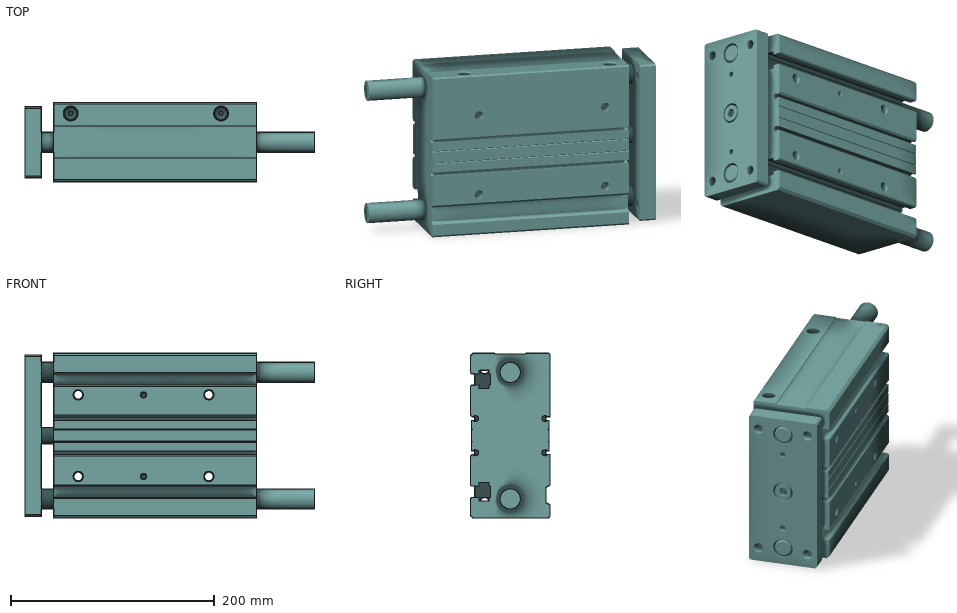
import cadquery as cq
import math


total_length = 284.0
housing_start = 28.0
housing_length = 199.0
housing_width = 78.0
housing_height = 162.0

plate_thickness = 16.2
plate_width = 70.0
plate_height = 158.2
plate_chamfer = 1.7

guide_diameter = 20.0
guide_pitch = 124.0
guide_tip_diameter = 16.8
guide_tip_chamfer = 1.0

piston_diameter = 16.2
piston_insertion = 56.8
hex_across_flats = 8.0
hex_depth = 4.0

tip_recess_diameter = 20.0
tip_recess_depth = 8.0

front_corner_chamfer = 2.5
rear_top_chamfer = 1.5
rear_bottom_chamfer = 2.0
top_relief_width = 31.2
top_relief_depth = 0.9

t_slot_offset = 55.0
t_mouth_width = 11.0
t_inner_width = 18.0
t_lip_depth = 8.2
t_slot_depth = 18.2
t_channel_depth = 20.0
t_mouth_chamfer = 1.0

strip_height = 30.0
strip_relief = 0.9
strip_groove_offset = 6.0
strip_groove_width = 1.0
strip_groove_depth = 0.9

sensor_mouth_width = 3.5
sensor_round_diameter = 5.7
sensor_round_depth = 5.0
sensor_lead_in = 1.7

flared_slot_offset = 58.2
flared_outer_width = 19.3
flared_floor_width = 14.2
flared_slot_depth = 4.0

screw_hole_diameter = 8.5
screw_countersink_diameter = 10.0
location_hole_diameter = 5.0
location_countersink_diameter = 6.0
location_hole_depth = 10.0
hole_row_pitch = 80.0
side_screw_start = 24.0
side_screw_pitch = 128.0
plate_screw_pitch_y = 50.3
plate_screw_pitch_z = 130.0

port_positions = (16.8, 164.2)
port_y = 28.0
port_mouth_diameter = 14.5
port_diameter = 12.5
port_depth = 10.0
port_pilot_diameter = 4.3
port_pilot_depth = 17.0
drill_point_angle = 118.0

housing_end = housing_start + housing_length
half_width = housing_width / 2
half_height = housing_height / 2
guide_heights = (-guide_pitch / 2, guide_pitch / 2)
hole_rows = (-hole_row_pitch / 2, hole_row_pitch / 2)
side_screw_places = [housing_start + side_screw_start + i * side_screw_pitch for i in range(2)]
side_location_x = sum(side_screw_places) / 2
half_point_slope = math.tan(math.radians(drill_point_angle / 2))


def rod_along_x(diameter, start, end, z):
    """Round bar parallel to X between two stations."""
    return cq.Workplane("YZ", origin=(start, 0, z)).circle(diameter / 2).extrude(end - start)


def prism_along_x(points):
    """Prism as long as the housing, from a closed outline of (Y, Z) points."""
    return cq.Workplane("YZ", origin=(housing_start, 0, 0)).polyline(points).close().extrude(housing_length)


def revolved_tool(profile, point, direction):
    """Turned cutter from (radius, depth) points, entering at a point along an axis direction."""
    x, y, z = direction
    radial = cq.Vector(z, x, y)
    normal = radial.cross(cq.Vector(x, y, z))
    plane = cq.Plane(origin=point, xDir=radial, normal=normal)
    return cq.Workplane(plane).polyline(profile).close().revolve(360, (0, 0), (0, 1))


def countersunk_profile(hole_diameter, mouth_diameter, depth, pointed):
    """Half section of a hole with a 45 degree mouth and, if blind, a drill point."""
    hole_radius = hole_diameter / 2
    mouth_radius = mouth_diameter / 2
    point_length = hole_radius / half_point_slope if pointed else 0
    return [
        (0, 0),
        (mouth_radius, 0),
        (hole_radius, mouth_radius - hole_radius),
        (hole_radius, depth),
        (0, depth + point_length),
    ]


def screw_hole(point, direction, depth):
    """Cutter for a countersunk screw hole of the given depth."""
    profile = countersunk_profile(screw_hole_diameter, screw_countersink_diameter, depth, False)
    return revolved_tool(profile, point, direction)


def location_hole(point, direction):
    """Cutter for a blind location hole with a drill point."""
    profile = countersunk_profile(
        location_hole_diameter, location_countersink_diameter, location_hole_depth, True
    )
    return revolved_tool(profile, point, direction)


def housing_blank():
    """Chamfered bar with the shallow relief along its top."""
    relief = top_relief_width / 2
    relief_z = half_height - top_relief_depth
    return prism_along_x([
        (-half_width + front_corner_chamfer, -half_height),
        (half_width - rear_bottom_chamfer, -half_height),
        (half_width, -half_height + rear_bottom_chamfer),
        (half_width, half_height - rear_top_chamfer),
        (half_width - rear_top_chamfer, half_height),
        (relief, half_height),
        (relief, relief_z),
        (-relief, relief_z),
        (-relief, half_height),
        (-half_width + front_corner_chamfer, half_height),
        (-half_width, half_height - front_corner_chamfer),
        (-half_width, -half_height + front_corner_chamfer),
    ])


def t_slot(z):
    """T-slot open to the front side, with chamfered mouth edges and a deeper middle channel."""
    mouth = t_mouth_width / 2
    inner = t_inner_width / 2
    lip_y = -half_width + t_lip_depth
    floor_y = -half_width + t_slot_depth
    channel_y = -half_width + t_channel_depth
    half_section = [
        (-half_width, mouth + t_mouth_chamfer),
        (-half_width + t_mouth_chamfer, mouth),
        (lip_y, mouth),
        (lip_y, inner),
        (floor_y, inner),
        (floor_y, mouth),
        (channel_y, mouth),
    ]
    upper = [(y, z + dz) for y, dz in half_section]
    lower = [(y, z - dz) for y, dz in reversed(half_section)]
    return prism_along_x(upper + lower)


def strip_cut(side):
    """Shallow relief over the central strip on one side, with its two V grooves."""
    face_y = side * half_width
    strip_y = side * (half_width - strip_relief)
    half_strip = strip_height / 2
    cut = prism_along_x([
        (face_y, -half_strip), (strip_y, -half_strip), (strip_y, half_strip), (face_y, half_strip),
    ])
    root_y = strip_y - side * strip_groove_depth
    for z in (-strip_groove_offset, strip_groove_offset):
        cut = cut.union(prism_along_x([
            (strip_y, z - strip_groove_width / 2),
            (root_y, z),
            (strip_y, z + strip_groove_width / 2),
        ]))
    return cut


def sensor_slot(side, outward):
    """Round-bottomed slot bordering the central strip; the front pair has a lead-in chamfer."""
    face_y = side * half_width
    round_y = side * (half_width - sensor_round_depth)
    strip_edge = outward * strip_height / 2
    far_edge = strip_edge + outward * sensor_mouth_width
    middle_z = (strip_edge + far_edge) / 2
    slot = prism_along_x([
        (face_y, strip_edge), (round_y, strip_edge), (round_y, far_edge), (face_y, far_edge),
    ])
    bottom = (
        cq.Workplane("YZ", origin=(housing_start, round_y, middle_z))
        .circle(sensor_round_diameter / 2)
        .extrude(housing_length)
    )
    slot = slot.union(bottom)
    if side < 0:
        slot = slot.union(prism_along_x([
            (face_y, far_edge),
            (face_y - side * sensor_lead_in, far_edge),
            (face_y, far_edge + outward * sensor_lead_in),
        ]))
    return slot


def flared_slot():
    """Shallow slot on the rear side, wider at its mouth."""
    z = -flared_slot_offset
    floor_y = half_width - flared_slot_depth
    return prism_along_x([
        (half_width, z - flared_outer_width / 2),
        (floor_y, z - flared_floor_width / 2),
        (floor_y, z + flared_floor_width / 2),
        (half_width, z + flared_outer_width / 2),
    ])


def air_port(x):
    """Port from the top: chamfered mouth, bore, drill-point bottom and pilot hole."""
    bore = port_diameter / 2
    mouth = port_mouth_diameter / 2
    pilot = port_pilot_diameter / 2
    profile = [
        (0, 0),
        (mouth, 0),
        (bore, mouth - bore),
        (bore, port_depth),
        (pilot, port_depth + (bore - pilot) / half_point_slope),
        (pilot, port_pilot_depth),
        (0, port_pilot_depth),
    ]
    return revolved_tool(profile, (x, port_y, half_height), (0, 0, -1))


def make_housing():
    """Housing with its slots, holes, air ports and rod bores."""
    body = housing_blank()
    for z in (-t_slot_offset, t_slot_offset):
        body = body.cut(t_slot(z))
    for side in (-1, 1):
        body = body.cut(strip_cut(side))
        for outward in (-1, 1):
            body = body.cut(sensor_slot(side, outward))
    body = body.cut(flared_slot())
    for z in hole_rows:
        for x in side_screw_places:
            body = body.cut(screw_hole((x, -half_width, z), (0, 1, 0), housing_width))
        body = body.cut(location_hole((side_location_x, -half_width, z), (0, 1, 0)))
    for offset in port_positions:
        body = body.cut(air_port(housing_start + offset))
    for z in guide_heights:
        body = body.cut(rod_along_x(guide_diameter, housing_start, housing_end, z))
    return body.cut(rod_along_x(piston_diameter, housing_start, housing_start + piston_insertion, 0))


def make_plate():
    """End plate with screw holes, location holes and recessed seats for the three rods."""
    body = (
        cq.Workplane("YZ")
        .rect(plate_width, plate_height)
        .extrude(plate_thickness)
        .edges("|X")
        .chamfer(plate_chamfer)
    )
    for y in (-plate_screw_pitch_y / 2, plate_screw_pitch_y / 2):
        for z in (-plate_screw_pitch_z / 2, plate_screw_pitch_z / 2):
            body = body.cut(screw_hole((0, y, z), (1, 0, 0), plate_thickness))
    for z in hole_rows:
        body = body.cut(location_hole((0, 0, z), (1, 0, 0)))
    for z in guide_heights:
        body = body.cut(rod_along_x(guide_tip_diameter, 0, plate_thickness, z))
        body = body.cut(rod_along_x(tip_recess_diameter, 0, tip_recess_depth, z))
    body = body.cut(rod_along_x(piston_diameter, 0, plate_thickness, 0))
    return body.cut(rod_along_x(tip_recess_diameter, 0, tip_recess_depth, 0))


def make_guide_rod(z):
    """Guide rod with a reduced, chamfered tip that fills its hole in the plate."""
    tip = rod_along_x(guide_tip_diameter, 0, plate_thickness, z).faces("<X").chamfer(guide_tip_chamfer)
    return tip.union(rod_along_x(guide_diameter, plate_thickness, total_length, z))


def make_piston_rod():
    """Piston rod reaching through the plate, with a hexagon socket in its tip."""
    rod = rod_along_x(piston_diameter, 0, housing_start + piston_insertion, 0)
    hex_diameter = hex_across_flats / math.cos(math.pi / 6)
    return rod.cut(cq.Workplane("YZ").polygon(6, hex_diameter).extrude(hex_depth))


housing = make_housing()
plate = make_plate()
guide_rods = [make_guide_rod(z) for z in guide_heights]
piston_rod = make_piston_rod()

result = cq.Compound.makeCompound(
    [housing.val(), plate.val(), *[rod.val() for rod in guide_rods], piston_rod.val()]
)